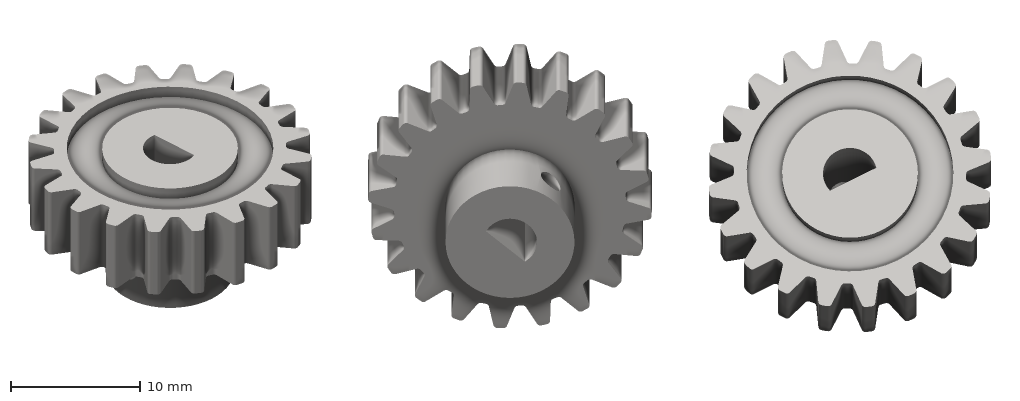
import cadquery as cq
import math

tooth_count = 20
tip_radius = 11.0
root_radius = 9.0
pitch_radius = tip_radius * tooth_count / (tooth_count + 2)
flank_backlash = 0.033
pitch_half_width = math.pi * pitch_radius / tooth_count / 2 - flank_backlash
flank_angle = 15.8
tip_fillet = 0.3
root_fillet = 0.3

total_height = 11.7
gear_thickness = 6.0
hub_height = total_height - gear_thickness

hub_radius = 5.0
recess_outer_radius = 8.0
recess_inner_radius = 5.25
recess_depth = 1.0

bore_radius = 2.1
flat_offset = 0.53
flat_tilt = 2.0

screw_hole_radius = 1.0
screw_hole_height = hub_height / 2


def polar(radius, angle):
    """Point at a radius and an angle (radians) about the gear axis."""
    return (radius * math.cos(angle), radius * math.sin(angle))


def flank_half_angle(radius):
    """Angle from a tooth's centreline to its straight flank at a radius."""
    slope = math.tan(math.radians(flank_angle))
    pitch_half_angle = math.asin(pitch_half_width / pitch_radius)
    base_half_width = pitch_half_width + slope * pitch_radius * math.cos(pitch_half_angle)
    flank_direction = math.radians(flank_angle)
    return math.asin(base_half_width * math.cos(flank_direction) / radius) - flank_direction


def gear_blank():
    """Toothed wheel with rounded tooth tips and roots."""
    pitch_step = 2 * math.pi / tooth_count
    tip_half = flank_half_angle(tip_radius)
    root_half = flank_half_angle(root_radius)

    outline = (
        cq.Workplane("XY")
        .workplane(offset=hub_height)
        .moveTo(*polar(root_radius, -root_half))
    )
    for tooth in range(tooth_count):
        center = tooth * pitch_step
        outline = (
            outline.lineTo(*polar(tip_radius, center - tip_half))
            .threePointArc(polar(tip_radius, center), polar(tip_radius, center + tip_half))
            .lineTo(*polar(root_radius, center + root_half))
            .threePointArc(
                polar(root_radius, center + pitch_step / 2),
                polar(root_radius, center + pitch_step - root_half),
            )
        )
    blank = outline.close().extrude(gear_thickness)

    def is_tip(edge):
        return math.hypot(edge.Center().x, edge.Center().y) > pitch_radius

    def is_root(edge):
        return math.hypot(edge.Center().x, edge.Center().y) < pitch_radius

    rounded_roots = blank.edges("|Z").filter(is_root).fillet(root_fillet)
    return rounded_roots.edges("|Z").filter(is_tip).fillet(tip_fillet)


def hub():
    return cq.Workplane("XY").circle(hub_radius).extrude(hub_height)


def ring_recess():
    return (
        cq.Workplane("XY")
        .workplane(offset=total_height - recess_depth)
        .circle(recess_outer_radius)
        .circle(recess_inner_radius)
        .extrude(recess_depth)
    )


def d_bore():
    half_chord = math.sqrt(bore_radius**2 - flat_offset**2)
    return (
        cq.Workplane("XY")
        .moveTo(-half_chord, flat_offset)
        .threePointArc((0, -bore_radius), (half_chord, flat_offset))
        .close()
        .extrude(total_height)
        .rotate((0, 0, 0), (0, 0, 1), flat_tilt)
    )


def screw_hole():
    return (
        cq.Workplane("XZ")
        .center(0, screw_hole_height)
        .circle(screw_hole_radius)
        .extrude(hub_radius)
    )


result = gear_blank().union(hub()).cut(ring_recess()).cut(d_bore()).cut(screw_hole())